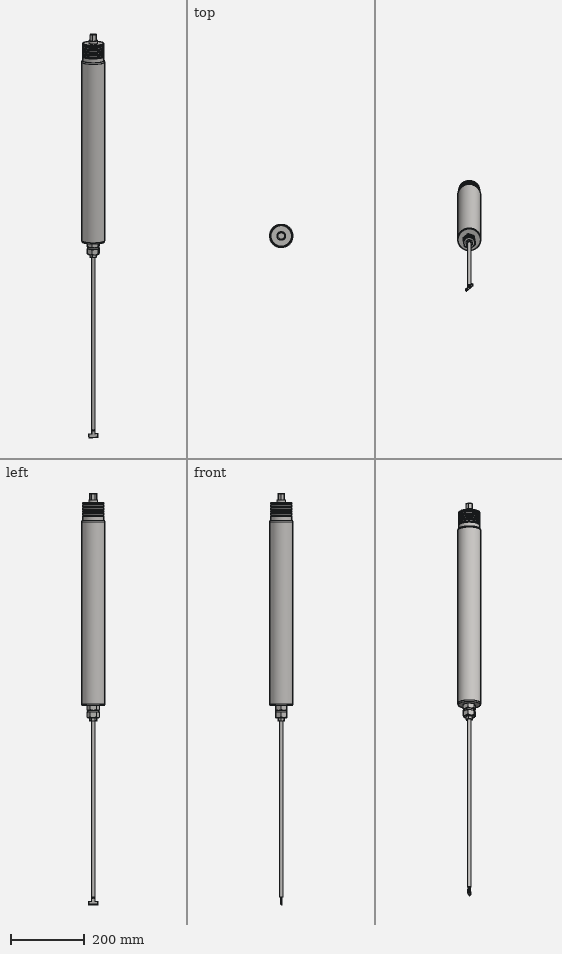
import cadquery as cq
import math

total_height = 1118.8

spindle_hex_length = 17.0
spindle_flange_length = 7.0
cap_length = 48.5
tube_length = 503.2
gland_hex_length = 14.0
gland_neck_length = 4.5
nut_length = 15.5
bushing_length = 8.0
bit_length = 21.5

drive_hex_width = 16.5
spindle_flange_diameter = 23.5
cap_diameter = 58.0
tube_diameter = 63.5
gland_hex_width = 30.5
gland_neck_diameter = 30.0
rod_diameter = 10.0

cap_chamfer = 1.0
tube_chamfer_width = 1.5
tube_chamfer_height = 4.0
nut_chamfer = 3.0

groove_count = 5
groove_pitch = 7.6
groove_width = 4.2
groove_depth = 1.5
first_groove_below_top = 5.2

bit_thickness = 4.0
bit_neck_width = 4.0
bit_neck_length = 2.5
bit_shank_width = 10.0
blade_width = 25.0
blade_height = 10.5
bevel_height = 3.0

spindle_flange_z = total_height - spindle_hex_length
cap_top_z = spindle_flange_z - spindle_flange_length
tube_top_z = cap_top_z - cap_length
tube_bottom_z = tube_top_z - tube_length
gland_neck_z = tube_bottom_z - gland_hex_length
nut_top_z = gland_neck_z - gland_neck_length
bushing_top_z = nut_top_z - nut_length
rod_top_z = bushing_top_z - bushing_length


def cylinder(diameter, bottom_z, top_z):
    """Round bar on the Z axis."""
    return cq.Workplane("XY", origin=(0, 0, bottom_z)).circle(diameter / 2).extrude(top_z - bottom_z)


def hexagon(width, bottom_z, top_z):
    """Hexagonal bar on the Z axis with two flats facing -X and +X."""
    corner_diameter = width / math.cos(math.pi / 6)
    bar = cq.Workplane("XY", origin=(0, 0, bottom_z)).polygon(6, corner_diameter).extrude(top_z - bottom_z)
    return bar.rotate((0, 0, 0), (0, 0, 1), 30)


def revolved(points):
    """Solid of revolution about Z from (radius, z) points."""
    return cq.Workplane("XZ").polyline(points).close().revolve(360, (0, 0, 0), (0, 1, 0))


def chamfered_hexagon(width, bottom_z, top_z):
    """Hexagonal bar whose lower corners are turned off to a cone."""
    corner_radius = width / 2 / math.cos(math.pi / 6)
    cone = revolved(
        [
            (0, bottom_z),
            (corner_radius - nut_chamfer, bottom_z),
            (corner_radius, bottom_z + nut_chamfer),
            (corner_radius, top_z),
            (0, top_z),
        ]
    )
    return hexagon(width, bottom_z, top_z).intersect(cone)


def make_spindle():
    """Hexagonal drive end on a round flange."""
    flange = cylinder(spindle_flange_diameter, cap_top_z, spindle_flange_z)
    return flange.union(hexagon(drive_hex_width, spindle_flange_z, total_height))


def make_cap():
    """Round cap with a chamfered top edge and V-shaped ring grooves."""
    radius = cap_diameter / 2
    cap = cylinder(cap_diameter, tube_top_z, cap_top_z).faces(">Z").chamfer(cap_chamfer)
    for i in range(groove_count):
        groove_z = cap_top_z - first_groove_below_top - i * groove_pitch
        groove = revolved(
            [
                (radius, groove_z - groove_width / 2),
                (radius - groove_depth, groove_z),
                (radius, groove_z + groove_width / 2),
            ]
        )
        cap = cap.cut(groove)
    return cap


def make_tube():
    """Long round body, tapered at both ends."""
    radius = tube_diameter / 2
    end_radius = radius - tube_chamfer_width
    return revolved(
        [
            (0, tube_bottom_z),
            (end_radius, tube_bottom_z),
            (radius, tube_bottom_z + tube_chamfer_height),
            (radius, tube_top_z - tube_chamfer_height),
            (end_radius, tube_top_z),
            (0, tube_top_z),
        ]
    )


def make_gland():
    """Hexagonal gland with a short round neck below it."""
    neck = cylinder(gland_neck_diameter, nut_top_z, gland_neck_z)
    return neck.union(chamfered_hexagon(gland_hex_width, gland_neck_z, tube_bottom_z))


def flat_bar(width, height):
    """Flat bar of the bit's thickness standing on z = 0, its width along Y."""
    return cq.Workplane("XY").box(bit_thickness, width, height, centered=(True, True, False))


def make_bit():
    """Flat bit lying in the YZ plane, bevelled to its edge on the -X side."""
    bit = flat_bar(blade_width, blade_height)
    bit = bit.union(flat_bar(bit_shank_width, bit_length - bit_neck_length))
    bit = bit.union(flat_bar(bit_neck_width, bit_length))
    half = bit_thickness / 2
    bevel = cq.Workplane("XZ").polyline([(-half, 0), (half, 0), (-half, bevel_height)]).close()
    return bit.cut(bevel.extrude(blade_width, both=True))


spindle = make_spindle()
cap = make_cap()
tube = make_tube()
gland = make_gland()
nut = chamfered_hexagon(gland_hex_width, bushing_top_z, nut_top_z)
bushing = hexagon(drive_hex_width, rod_top_z, bushing_top_z)
rod = cylinder(rod_diameter, bit_length, rod_top_z)
bit = make_bit()

bodies = [spindle, cap, tube, gland, nut, bushing, rod, bit]
result = cq.Compound.makeCompound([body.val() for body in bodies])